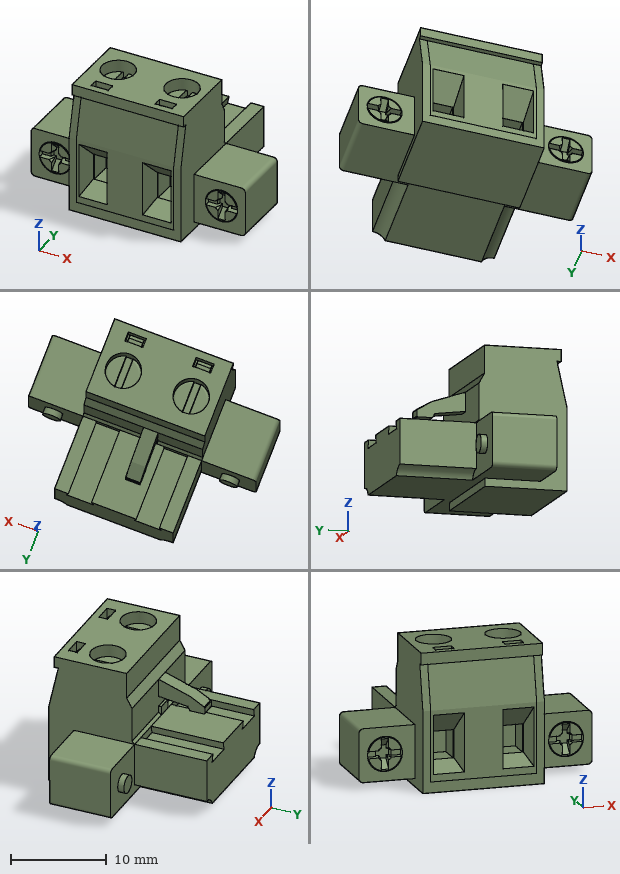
import cadquery as cq
import math

SIDES = (-1, 1)
CUT_MARGIN = 0.25

total_width = 25.55
total_depth = 18.2
total_height = 15.1

body_width = 13.3
body_front_height = 8.91
body_back = 9.6
body_top_back = 9.0
body_bottom_back = 8.95
cap_front = 0.65
cap_height = 1.28
slope_depth = 1.1
back_slope_bottom = 11.0
back_slope_top = 12.1
cap_bottom = total_height - cap_height

nose_bottom = 0.87
nose_top = 6.75
nose_start = 9.9
nose_cove_radius = 1.48
nose_cove_top = 1.85
flange_front = 2.9
flange_corner_radius = 0.5
flange_center_z = (nose_bottom + nose_top) / 2
key_inner_edge = 2.5
key_outer_edge = 5.1
key_depth = 0.87
key_undercut = 0.18
foot_chamfer = nose_start - body_back

latch_width = 1.63
latch_center_x = -0.85
latch_tip = 14.92
latch_tip_chamfer = 0.08
latch_tip_top = 8.9
latch_tip_bottom = 8.07
latch_knee = 13.25
latch_knee_top = 9.8
latch_hook_tip = 13.2
latch_hook_root = 12.92
latch_hook_top = 8.53
latch_root_top = back_slope_bottom
latch_root_bottom = 8.91
latch_stop_top = 7.76

pole_spacing = 7.6
pole_positions = [side * pole_spacing / 2 for side in SIDES]

insert_width = 11.6
insert_bottom = 1.2
insert_depth = 2.48
entry_width, entry_bottom, entry_top = 3.37, 2.0, 8.43
throat_width, throat_bottom, throat_top = 2.6, 2.9, 5.98

clamp_wall = 0.49
clamp_depth = 3.58
clamp_opening_width = 2.4
clamp_opening_depth = 2.55
clamp_width = clamp_opening_width + 2 * clamp_wall
clamp_bottom = throat_bottom - clamp_wall
clamp_height = throat_top - throat_bottom + 2 * clamp_wall

screw_diameter = 3.8
screw_edge_radius = 0.3
slot_width = 0.77
terminal_screw_y = 5.52
terminal_screw_recess = 1.28
terminal_screw_height = 1.8
terminal_slot_depth = 0.77

test_slot_width = 2.02
test_slot_front = 1.45
test_slot_back = 2.45
test_slot_depth = 1.2
test_contact_width = 1.55
test_contact_recess = 0.7
test_contact_ramp_run = 0.43
test_contact_ramp_drop = 0.45

flange_screw_spacing = 19.82
flange_screw_positions = [side * flange_screw_spacing / 2 for side in SIDES]
flange_head_length = 2.05
flange_head_chamfer = 0.08
flange_shank_diameter = 2.0
flange_shank_end = 10.62
flange_slot_depth = 0.66
cross_arm_width = 0.82
cross_arm_reach = 1.65
cross_floor_reach = 0.72
cross_pit_reach = 1.1
cross_depth = 1.02


def block(x_center, width, y_start, y_end, z_start, z_end):
    """Box centred on x_center in X and placed by its limits in Y and Z."""
    return cq.Workplane("XY").box(
        width, y_end - y_start, z_end - z_start, centered=(True, False, False)
    ).translate((x_center, y_start, z_start))


def side_profile(points, x_center, width):
    """Prism with a (Y, Z) outline, centred on x_center."""
    outline = cq.Workplane("YZ", origin=(x_center, 0, 0)).polyline(points).close()
    return outline.extrude(width / 2, both=True)


def rod(x, z, diameter, y_start, y_end):
    """Cylinder along Y."""
    plane = cq.Plane(origin=(x, y_start, z), xDir=(1, 0, 0), normal=(0, 1, 0))
    return cq.Workplane(plane).circle(diameter / 2).extrude(y_end - y_start)


def insert_blank():
    """Insert without its wire entries, flush with the front of the housing."""
    points = [
        (0, insert_bottom),
        (0, body_front_height),
        (slope_depth, cap_bottom),
        (insert_depth, cap_bottom),
        (insert_depth, insert_bottom),
    ]
    return side_profile(points, 0, insert_width)


def wire_funnel(x):
    """Tapered wire entry running from the front face through the insert."""
    entry_z = (entry_bottom + entry_top) / 2
    throat_rise = (throat_bottom + throat_top) / 2 - entry_z
    plane = cq.Plane(origin=(x, 0, entry_z), xDir=(1, 0, 0), normal=(0, -1, 0))
    return (
        cq.Workplane(plane)
        .rect(entry_width, entry_top - entry_bottom)
        .workplane(offset=-insert_depth)
        .center(0, throat_rise)
        .rect(throat_width, throat_top - throat_bottom)
        .loft(ruled=True)
    )


def make_insert():
    insert = insert_blank()
    for x in pole_positions:
        insert = insert.cut(wire_funnel(x))
    return insert


def clamp_blank(x):
    return block(
        x, clamp_width, insert_depth, insert_depth + clamp_depth, clamp_bottom, clamp_bottom + clamp_height
    )


def make_clamp(x):
    """Clamp with a blind opening in line with the wire funnel."""
    opening = block(
        x, clamp_opening_width, insert_depth, insert_depth + clamp_opening_depth, throat_bottom, throat_top
    )
    return clamp_blank(x).cut(opening)


def make_terminal_screw(x):
    """Slotted head with a rounded rim, sunk below the housing top."""
    head_top = total_height - terminal_screw_recess
    head = (
        cq.Workplane("XY", origin=(x, terminal_screw_y, head_top))
        .circle(screw_diameter / 2)
        .extrude(-terminal_screw_height)
        .faces(">Z")
        .edges()
        .fillet(screw_edge_radius)
    )
    slot = block(
        x,
        slot_width,
        terminal_screw_y - screw_diameter,
        terminal_screw_y + screw_diameter,
        head_top - terminal_slot_depth,
        head_top + CUT_MARGIN,
    )
    return head.cut(slot)


def make_test_contact(x):
    """Contact tongue on the test slot floor, with a ramp towards the wire side."""
    bottom = total_height - test_slot_depth
    top = total_height - test_contact_recess
    points = [
        (test_slot_front, bottom),
        (test_slot_front, top - test_contact_ramp_drop),
        (test_slot_front + test_contact_ramp_run, top),
        (test_slot_back, top),
        (test_slot_back, bottom),
    ]
    return side_profile(points, x, test_contact_width)


def flange_screw_blank(x):
    """Head flush with the flange front, and a shank that passes out of the back."""
    head_end = flange_front + flange_head_length
    head = rod(x, flange_center_z, screw_diameter, flange_front, head_end)
    shank = rod(x, flange_center_z, flange_shank_diameter, flange_front, flange_shank_end)
    return head.union(shank)


def tapered_recess(x, mouth, floor):
    """Frustum from the head face to the cross floor, given its half sizes in X and Z at each end."""
    plane = cq.Plane(origin=(x, flange_front, flange_center_z), xDir=(1, 0, 0), normal=(0, -1, 0))
    return (
        cq.Workplane(plane)
        .rect(2 * mouth[0], 2 * mouth[1])
        .workplane(offset=-cross_depth)
        .rect(2 * floor[0], 2 * floor[1])
        .loft(ruled=True)
    )


def cross_recess(x):
    """Slot across the head, an upright arm with sloping ends and a deeper tapered pit."""
    slot = block(
        x,
        2 * screw_diameter,
        flange_front - CUT_MARGIN,
        flange_front + flange_slot_depth,
        flange_center_z - slot_width / 2,
        flange_center_z + slot_width / 2,
    )
    upright_arm = tapered_recess(
        x, (cross_arm_width / 2, cross_arm_reach), (cross_arm_width / 2, cross_floor_reach)
    )
    level_arm = tapered_recess(x, (cross_pit_reach, slot_width / 2), (cross_floor_reach, slot_width / 2))
    pit_mouth = cross_pit_reach / math.sqrt(2)
    pit_floor = cross_floor_reach / math.sqrt(2)
    square_pit = tapered_recess(x, (pit_mouth, pit_mouth), (pit_floor, pit_floor))
    diamond_pit = square_pit.rotate((x, 0, flange_center_z), (x, 1, flange_center_z), 45)
    return slot.union(upright_arm).union(level_arm).union(diamond_pit)


def make_flange_screw(x):
    head_rim_chamfered = flange_screw_blank(x).faces("<Y").edges().chamfer(flange_head_chamfer)
    return head_rim_chamfered.cut(cross_recess(x))


def terminal_body():
    points = [
        (0, 0),
        (0, body_front_height),
        (slope_depth, cap_bottom),
        (cap_front, cap_bottom),
        (cap_front, total_height),
        (body_top_back, total_height),
        (body_top_back, back_slope_top),
        (body_back, back_slope_bottom),
        (body_back, nose_top + foot_chamfer),
        (nose_start, nose_top),
        (nose_start, nose_bottom),
        (body_bottom_back, nose_bottom),
        (body_bottom_back, 0),
    ]
    return side_profile(points, 0, body_width)


def key_groove(side):
    """Dovetail groove along the top of the nose."""
    floor = nose_top - key_depth
    points = [
        (side * key_inner_edge, nose_top),
        (side * (key_inner_edge - key_undercut), floor),
        (side * (key_outer_edge + key_undercut), floor),
        (side * key_outer_edge, nose_top),
    ]
    outline = cq.Workplane("XZ", origin=(0, nose_start, 0)).polyline(points).close()
    return outline.extrude(nose_start - total_depth)


def plug_nose():
    nose = block(0, body_width, nose_start, total_depth, nose_bottom, nose_top)
    cove_center_z = nose_cove_top - nose_cove_radius
    for side in SIDES:
        cove = rod(side * body_width / 2, cove_center_z, 2 * nose_cove_radius, nose_start, total_depth)
        nose = nose.cut(cove).cut(key_groove(side))
    return nose


def flange_bar():
    """Bar through the housing whose ends are the two screw flanges."""
    bar = block(0, total_width, flange_front, nose_start, nose_bottom, nose_top)
    return bar.edges("|Y").fillet(flange_corner_radius)


def latch():
    """Arm reaching out over the nose, with a hooked tip."""
    points = [
        (body_back, latch_root_top),
        (latch_knee, latch_knee_top),
        (latch_tip, latch_tip_top),
        (latch_tip, latch_tip_bottom),
        (latch_hook_tip, latch_tip_bottom),
        (latch_hook_root, latch_hook_top),
        (nose_start, latch_root_bottom),
        (body_back, latch_root_bottom),
    ]
    arm = side_profile(points, latch_center_x, latch_width)
    arm = arm.faces(">Y").edges("|X").chamfer(latch_tip_chamfer)
    stop = block(latch_center_x, latch_width, body_back, nose_start, nose_top, latch_stop_top)
    return arm.union(stop)


def pole_cavities(x):
    """Clamp pocket, terminal screw bore and test slot of one pole."""
    bore_depth = terminal_screw_recess + terminal_screw_height
    bore = (
        cq.Workplane("XY", origin=(x, terminal_screw_y, total_height))
        .circle(screw_diameter / 2)
        .extrude(-bore_depth)
    )
    test_slot = block(
        x, test_slot_width, test_slot_front, test_slot_back, total_height - test_slot_depth, total_height
    )
    return clamp_blank(x).union(bore).union(test_slot)


def make_housing():
    housing = terminal_body().union(plug_nose()).union(flange_bar()).union(latch())
    housing = housing.cut(insert_blank())
    for x in pole_positions:
        housing = housing.cut(pole_cavities(x))
    for x in flange_screw_positions:
        housing = housing.cut(flange_screw_blank(x))
    return housing


bodies = [make_housing(), make_insert()]
for x in pole_positions:
    bodies.append(make_clamp(x))
    bodies.append(make_terminal_screw(x))
    bodies.append(make_test_contact(x))
for x in flange_screw_positions:
    bodies.append(make_flange_screw(x))

result = cq.Compound.makeCompound([body.solids().val() for body in bodies])